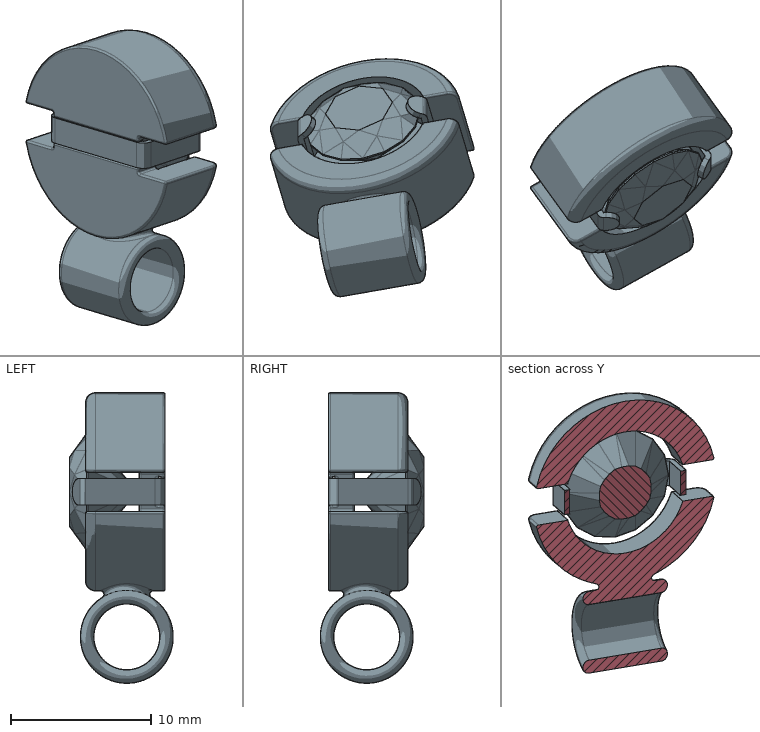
import cadquery as cq
import math

MARGIN = 0.02

DISC_RADIUS = 7.08
FRONT_Y = -2.75
BACK_Y = 2.95
BACK_ROUND = 0.73
EDGE_ROUND = 0.15

WEB_HALF_LENGTH = 4.2
WEB_BACK_Y = -0.87
SLOT_HALF_HEIGHT = 1.4

RECESS_RADIUS = 4.67

TOTAL_HEIGHT = 20.75
BAIL_RADIUS = 3.32
BAIL_HOLE_RADIUS = 2.35
BAIL_LENGTH = 6.6
BAIL_BLEND = 0.25
BAIL_Z = DISC_RADIUS - TOTAL_HEIGHT + BAIL_RADIUS

STONE_RADIUS = 4.15
TABLE_RADIUS = 2.45
TABLE_Y = 4.11
CROWN_SLOPE = 0.72
STAR_RADIUS = 3.22
GIRDLE_THICKNESS = 0.12
CULET_Y = -0.77
LOWER_FACET_RADIUS = 1.08
FACET_COUNT = 8

STRAP_THICKNESS = 0.44
STRAP_WIDTH = 1.9
STRAP_INNER_X = 4.3
STRAP_OUTER_X = STRAP_INNER_X + STRAP_THICKNESS
STRAP_INNER_BEND = 0.3
STRAP_OUTER_BEND = STRAP_INNER_BEND + STRAP_THICKNESS
STRAP_FLOOR_Y = FRONT_Y + STRAP_THICKNESS
TONGUE_ANGLE = 30.0
TONGUE_LENGTH = 1.15


def near_box(corner, opposite_corner):
    """Selector for edges lying wholly inside a box, given a little margin all round."""
    lows = [min(pair) - MARGIN for pair in zip(corner, opposite_corner)]
    highs = [max(pair) + MARGIN for pair in zip(corner, opposite_corner)]
    return cq.selectors.BoxSelector(tuple(lows), tuple(highs), boundingbox=True)


def disc_along_y(radius, start_y, end_y):
    """Cylinder on the Y axis between two Y positions."""
    return cq.Workplane("XZ", origin=(0, start_y, 0)).circle(radius).extrude(start_y - end_y)


def bail_tube():
    """Tube along X whose wall ends in a full round at both ends."""
    middle_radius = (BAIL_RADIUS + BAIL_HOLE_RADIUS) / 2
    end_x = BAIL_LENGTH / 2
    straight_x = end_x - (BAIL_RADIUS - BAIL_HOLE_RADIUS) / 2
    return (
        cq.Workplane("XY", origin=(0, 0, BAIL_Z))
        .moveTo(-straight_x, BAIL_HOLE_RADIUS)
        .lineTo(straight_x, BAIL_HOLE_RADIUS)
        .threePointArc((end_x, middle_radius), (straight_x, BAIL_RADIUS))
        .lineTo(-straight_x, BAIL_RADIUS)
        .threePointArc((-end_x, middle_radius), (-straight_x, BAIL_HOLE_RADIUS))
        .close()
        .revolve(360, (0, 0, 0), (1, 0, 0))
    )


def disc_with_bail():
    """Disc and bail joined by a rolling blend along the curve where they meet."""
    disc = disc_along_y(DISC_RADIUS, FRONT_Y, BACK_Y).faces(">Y").edges().fillet(BACK_ROUND)
    joined = disc.union(bail_tube())
    contact = cq.selectors.BoxSelector(
        (-BAIL_RADIUS, -BAIL_RADIUS / 2, -DISC_RADIUS - 0.2),
        (BAIL_RADIUS, BAIL_RADIUS / 2, -DISC_RADIUS + 0.2),
        boundingbox=True,
    )
    return joined.edges(contact).fillet(BAIL_BLEND)


def side_slot(side):
    """Slot through the thickness of the disc, open at its rim on one side."""
    length = DISC_RADIUS
    depth = BACK_Y - FRONT_Y
    return (
        cq.Workplane("XY")
        .box(length, depth, 2 * SLOT_HALF_HEIGHT)
        .edges("|Y")
        .edges("<X" if side > 0 else ">X")
        .fillet(EDGE_ROUND)
        .translate((side * (WEB_HALF_LENGTH + length / 2), FRONT_Y + depth / 2, 0))
    )


def strap_base():
    """Straight bar of the strap across the front of the web, flush with the front face."""
    return (
        cq.Workplane("XY")
        .box(2 * STRAP_OUTER_X, STRAP_THICKNESS, STRAP_WIDTH)
        .translate((0, FRONT_Y + STRAP_THICKNESS / 2, 0))
    )


def make_housing():
    """Disc with its bail, side slots, stone recess and strap groove."""
    body = disc_with_bail()
    for side in (-1, 1):
        body = body.cut(side_slot(side))
    body = body.cut(disc_along_y(RECESS_RADIUS, WEB_BACK_Y, BACK_Y))
    body = body.cut(strap_base())

    half_width = STRAP_WIDTH / 2
    for side in (-1, 1):
        end_x = side * WEB_HALF_LENGTH
        floor_end = near_box((end_x, STRAP_FLOOR_Y, -half_width), (end_x, STRAP_FLOOR_Y, half_width))
        body = body.edges(floor_end).fillet(STRAP_INNER_BEND)

    small_rounds = near_box((-DISC_RADIUS, FRONT_Y, -DISC_RADIUS), (DISC_RADIUS, FRONT_Y, DISC_RADIUS))
    for side in (-1, 1):
        end_x = side * WEB_HALF_LENGTH
        bend_x = side * (WEB_HALF_LENGTH - STRAP_INNER_BEND)
        bend_y = STRAP_FLOOR_Y + STRAP_INNER_BEND
        web_back = near_box(
            (end_x, WEB_BACK_Y, -SLOT_HALF_HEIGHT),
            (side * RECESS_RADIUS, WEB_BACK_Y, SLOT_HALF_HEIGHT),
        )
        slot_mouth = near_box(
            (side * (DISC_RADIUS - 0.2), FRONT_Y, -SLOT_HALF_HEIGHT),
            (side * DISC_RADIUS, BACK_Y, SLOT_HALF_HEIGHT),
        )
        small_rounds = small_rounds + web_back + slot_mouth
        for edge_z in (-half_width, half_width):
            small_rounds = small_rounds + near_box((end_x, FRONT_Y, edge_z), (bend_x, bend_y, edge_z))
    body = body.edges(small_rounds).fillet(EDGE_ROUND)

    return body.cut(make_strap())


def ring_point(radius, y, step):
    """Point around the Y axis; one step is half the angle between main facets."""
    angle = step * math.pi / FACET_COUNT
    return cq.Vector(radius * math.sin(angle), y, radius * math.cos(angle))


def make_stone():
    """Faceted stone: table, crown, thin girdle and pavilion down to the culet."""
    half_angle = math.pi / FACET_COUNT
    star_y = TABLE_Y - CROWN_SLOPE * (STAR_RADIUS * math.cos(half_angle) - TABLE_RADIUS)
    girdle_top = TABLE_Y - CROWN_SLOPE * (STONE_RADIUS - TABLE_RADIUS)
    girdle_bottom = girdle_top - GIRDLE_THICKNESS
    pavilion_slope = (girdle_bottom - CULET_Y) / STONE_RADIUS
    lower_y = CULET_Y + pavilion_slope * LOWER_FACET_RADIUS * math.cos(half_angle)

    def table(step):
        return ring_point(TABLE_RADIUS, TABLE_Y, step)

    def star(step):
        return ring_point(STAR_RADIUS, star_y, step)

    def top(step):
        return ring_point(STONE_RADIUS, girdle_top, step)

    def bottom(step):
        return ring_point(STONE_RADIUS, girdle_bottom, step)

    def lower(step):
        return ring_point(LOWER_FACET_RADIUS, lower_y, step)

    culet = cq.Vector(0, CULET_Y, 0)
    main_steps = range(0, 2 * FACET_COUNT, 2)
    outlines = [[table(step) for step in main_steps]]
    for main in main_steps:
        outlines.append([table(main), star(main + 1), top(main), star(main - 1)])
        outlines.append([table(main), table(main + 2), star(main + 1)])
        outlines.append([culet, lower(main + 1), bottom(main), lower(main - 1)])
        for side in (-1, 1):
            outlines.append([star(main + side), top(main), top(main + side)])
            outlines.append([top(main), top(main + side), bottom(main + side), bottom(main)])
            outlines.append([lower(main + side), bottom(main), bottom(main + side)])
    facets = [cq.Face.makeFromWires(cq.Wire.makePolygon(points, close=True)) for points in outlines]
    return cq.Workplane(obj=cq.Solid.makeSolid(cq.Shell.makeShell(facets)))


def strap_leg(side):
    """Straight upright of the strap, from the front face up to the start of the tongue."""
    return (
        cq.Workplane("XY")
        .box(STRAP_THICKNESS, BACK_Y - FRONT_Y, STRAP_WIDTH)
        .translate((side * (STRAP_INNER_X + STRAP_THICKNESS / 2), (FRONT_Y + BACK_Y) / 2, 0))
    )


def make_tongue():
    """Round-ended tongue on the +X side, with the wedge of bend that joins it to its leg."""
    reach = TONGUE_LENGTH - STRAP_WIDTH / 2
    flat = (
        cq.Workplane("XZ")
        .moveTo(0, -STRAP_WIDTH / 2)
        .lineTo(-reach, -STRAP_WIDTH / 2)
        .threePointArc((-TONGUE_LENGTH, 0), (-reach, STRAP_WIDTH / 2))
        .lineTo(0, STRAP_WIDTH / 2)
        .close()
        .extrude(-STRAP_THICKNESS)
        .rotate((0, 0, 0), (0, 0, 1), -TONGUE_ANGLE)
    )
    bend_angle = math.radians(90 - TONGUE_ANGLE)

    def on_bend(angle):
        return (STRAP_THICKNESS * math.cos(angle), STRAP_THICKNESS * math.sin(angle))

    bend = (
        cq.Workplane("XY", origin=(0, 0, -STRAP_WIDTH / 2))
        .lineTo(*on_bend(0))
        .threePointArc(on_bend(bend_angle / 2), on_bend(bend_angle))
        .close()
        .extrude(STRAP_WIDTH)
    )
    return flat.union(bend).translate((STRAP_INNER_X, BACK_Y, 0))


def make_strap():
    """Bar across the web, two legs with rounded bends, and a tongue on each leg."""
    body = strap_base().union(strap_leg(-1)).union(strap_leg(1))
    body = body.edges("|Z").edges("<Y").fillet(STRAP_OUTER_BEND)
    inner_corners = near_box(
        (-STRAP_INNER_X, STRAP_FLOOR_Y, -STRAP_WIDTH),
        (STRAP_INNER_X, STRAP_FLOOR_Y, STRAP_WIDTH),
    )
    body = body.edges(inner_corners).edges("|Z").fillet(STRAP_INNER_BEND)
    tongue = make_tongue()
    return body.union(tongue).union(tongue.mirror("YZ"))


housing = make_housing()
stone = make_stone()
strap = make_strap()

result = cq.Compound.makeCompound([housing.val(), stone.val(), strap.val()])